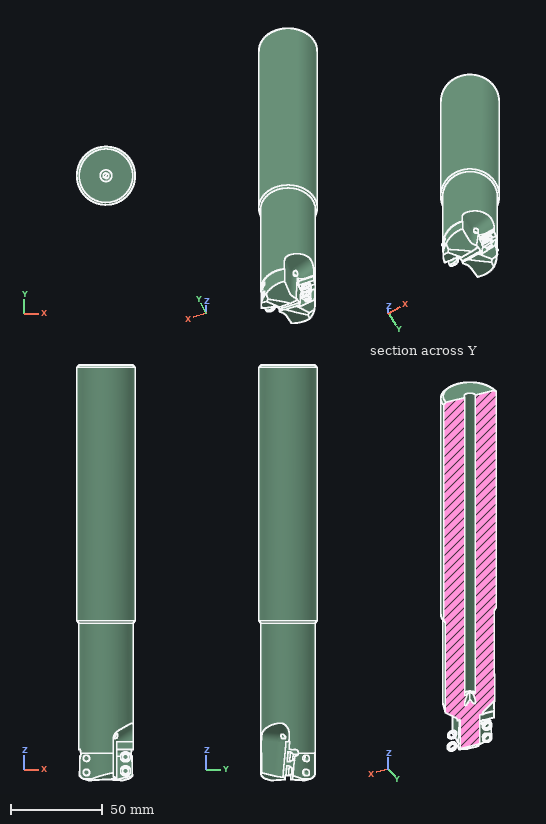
import cadquery as cq
import math


total_length = 226.5
shank_diameter = 32.0
shank_bottom = 87.2
shank_top_chamfer = 1.4
neck_diameter = 29.9
neck_top = 85.8
head_diameter = 29.5
head_top = 15.0
tip_radius = 12.2
dish_height = 0.7
edge_rise = 1.0
tooth_count = 2
far = shank_diameter

bore_diameter = 6.3
bore_bottom = 36.2
outlet_diameter = 2.7
outlet_point = cq.Vector(5.7, -2.7, 23.3)

rake_angle = 5.0
flute_floor_x = 3.8
flute_floor_top = 20.4
flute_runout_radius = 6.3
flute_exit_slope = 33.0
flute_side_y = -1.4
flute_corner_radius = 6.0

pocket_wall_x = 5.9
seat_y = 2.5
pocket_height = 16.8
pocket_corner_height = 15.2
pocket_corner_radius = 1.8
clearance_height = 20.8
clearance_depth_above_seat = 3.5

screw_x = 10.6
screw_heights = (5.0, 12.7)
thread_diameter = 3.5
thread_depth = 5.7
screw_head_diameter = 5.5
screw_cone_start = 1.0
screw_cone_end = 2.5
screw_head_top = 3.8
socket_width = 3.2
socket_depth = 1.4

groove_width = 3.0
groove_height = 2.7
relief_start = 1.0
relief_angle = 19.5
relief_direction = -45.0


def tilt_to_seat(shape):
    """Lean a shape by the rake angle, pivoting where the seat plane meets the bottom."""
    return shape.rotate((0, seat_y, 0), (1, seat_y, 0), -rake_angle)


def on_tooth(shape, index):
    """Turn a +X tooth feature round to the given tooth."""
    return shape.rotate((0, 0, 0), (0, 0, 1), index * 360 / tooth_count)


def blank():
    shank_r = shank_diameter / 2
    neck_r = neck_diameter / 2
    head_r = head_diameter / 2
    return (
        cq.Workplane("XZ")
        .polyline([
            (0, dish_height),
            (tip_radius, 0),
            (head_r, edge_rise),
            (head_r, head_top),
            (neck_r, head_top),
            (neck_r, neck_top),
            (shank_r, shank_bottom),
            (shank_r, total_length - shank_top_chamfer),
            (shank_r - shank_top_chamfer, total_length),
            (0, total_length),
        ])
        .close()
        .revolve(360, (0, 0, 0), (0, 1, 0))
    )


def coolant_bore():
    return (
        cq.Workplane("XY", origin=(0, 0, bore_bottom))
        .circle(bore_diameter / 2)
        .extrude(total_length - bore_bottom)
    )


def coolant_outlet():
    start = cq.Vector(0, 0, bore_bottom)
    run = outlet_point - start
    return cq.Workplane(cq.Solid.makeCylinder(outlet_diameter / 2, run.Length, start, run))


def flute():
    slope = math.radians(flute_exit_slope)
    turn = math.pi / 2 - slope
    arc_center_x = flute_floor_x + flute_runout_radius

    def arc_point(angle):
        return (
            arc_center_x - flute_runout_radius * math.cos(angle),
            flute_floor_top + flute_runout_radius * math.sin(angle),
        )

    arc_end = arc_point(turn)
    exit_top = arc_end[1] + (far - arc_end[0]) * math.tan(slope)
    cutter = (
        cq.Workplane("XZ", origin=(0, flute_side_y, 0))
        .moveTo(flute_floor_x, -far)
        .lineTo(flute_floor_x, flute_floor_top)
        .threePointArc(arc_point(turn / 2), arc_end)
        .lineTo(far, exit_top)
        .lineTo(far, -far)
        .close()
        .extrude(far)
    )
    cutter = cutter.faces(">Y").edges("not(>X or <Z)").fillet(flute_corner_radius)
    return tilt_to_seat(cutter)


def pocket_block(height, side_y):
    """A block open to the outside and below, ending at the given side wall."""
    return (
        cq.Workplane("XY", origin=(pocket_wall_x, side_y, -far))
        .box(far, far, far + height, centered=False)
        .translate((0, -far, 0))
    )


def insert_pocket():
    seat = pocket_block(pocket_height, seat_y)
    clearance = pocket_block(clearance_height, seat_y - clearance_depth_above_seat)
    corner = (
        cq.Workplane("YZ", origin=(pocket_wall_x, seat_y, pocket_corner_height))
        .circle(pocket_corner_radius)
        .extrude(far)
    )
    return tilt_to_seat(seat.union(clearance).union(corner))


def screw_hole(height):
    hole = (
        cq.Workplane("XZ", origin=(screw_x, seat_y, height))
        .circle(thread_diameter / 2)
        .extrude(-far)
    )
    return tilt_to_seat(hole)


def insert_screw(height):
    """Countersunk screw: thread in the body, head standing above the seat."""
    thread_r = thread_diameter / 2
    head_r = screw_head_diameter / 2
    screw = (
        cq.Workplane("XY")
        .polyline([
            (0, thread_depth),
            (thread_r, thread_depth),
            (thread_r, -screw_cone_start),
            (head_r, -screw_cone_end),
            (head_r, -screw_head_top),
            (0, -screw_head_top),
        ])
        .close()
        .revolve(360, (0, 0, 0), (0, 1, 0))
    )
    socket = (
        cq.Workplane("XZ", origin=(0, -screw_head_top, 0))
        .polygon(6, socket_width, circumscribed=True)
        .extrude(-socket_depth)
    )
    return tilt_to_seat(screw.cut(socket).translate((screw_x, seat_y, height)))


def center_groove():
    return cq.Workplane("XY").box(2 * far, groove_width, 2 * groove_height)


def bottom_relief():
    """Wedge that lifts the bottom face away behind the opposite tooth."""
    rise = (far - relief_start) * math.tan(math.radians(relief_angle))
    return (
        cq.Workplane("XZ")
        .polyline([(relief_start, 0), (far, 0), (far, rise)])
        .close()
        .extrude(far, both=True)
        .rotate((0, 0, 0), (0, 0, 1), relief_direction)
    )


def cutter_body():
    body = blank().cut(coolant_bore()).cut(center_groove())
    tooth_cuts = [flute(), insert_pocket(), coolant_outlet(), bottom_relief()]
    tooth_cuts += [screw_hole(height) for height in screw_heights]
    for index in range(tooth_count):
        for tooth_cut in tooth_cuts:
            body = body.cut(on_tooth(tooth_cut, index))
    return body


body = cutter_body()
screws = [
    on_tooth(insert_screw(height), index)
    for index in range(tooth_count)
    for height in screw_heights
]
result = cq.Compound.makeCompound([body.val(), *[screw.val() for screw in screws]])